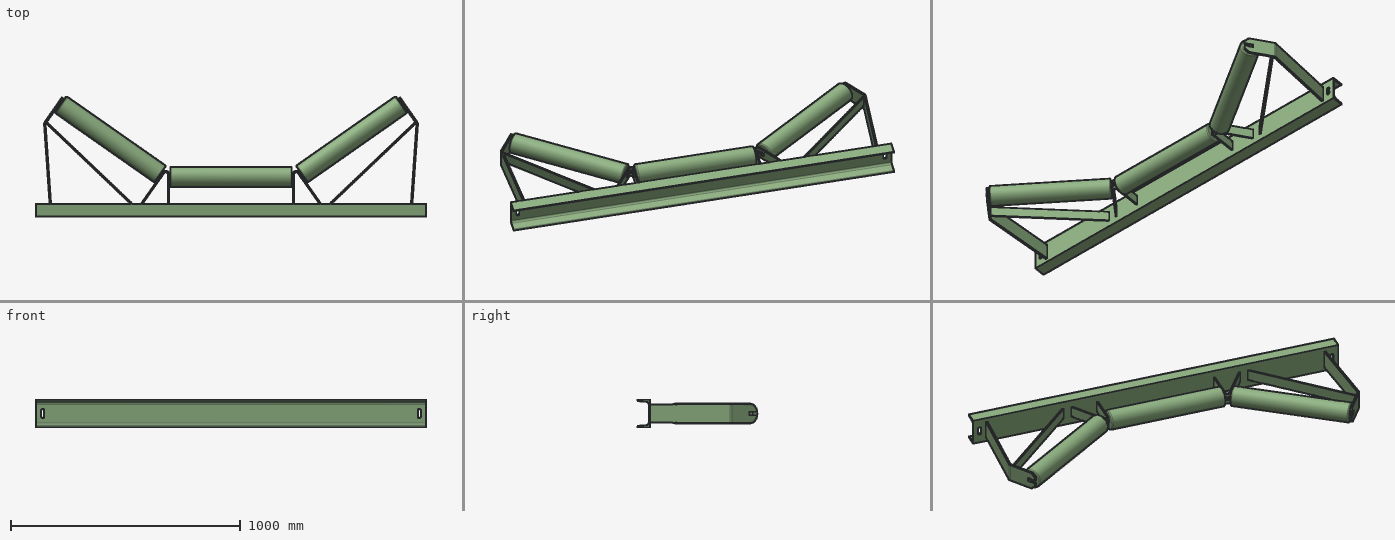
import cadquery as cq
import math

channel_length = 1700
channel_height = 120
flange_width = 55
web_thickness = 7
flange_mid_thickness = 9
flange_slope = 0.08
root_radius = 9
toe_radius = 4.5
mount_slot_length = 38
mount_slot_width = 14
mount_slot_from_end = 30

roller_diameter = 89
roller_length = 530
roller_edge_radius = 5
shaft_diameter = 20
flat_width = 14
middle_roller_gap = 4
side_roller_gap = 5
trough_angle = 35
overall_depth = 522.81

middle_plate_thickness = 6
outer_plate_thickness = 8
brace_thickness = 6
brace_width = 50
middle_plate_width = 50
outer_plate_width = 80
bend_radius = 15
middle_axis_y = 117
middle_bend_y = 129
outer_tip_above_axis = 28
outer_tip_chamfer = 18
outer_bend_below_axis = 106
outer_foot_x = 783
brace_foot_x = 437

angle = math.radians(trough_angle)
along = (math.cos(angle), math.sin(angle))
across = (-math.sin(angle), math.cos(angle))

middle_half_span = roller_length / 2 + middle_roller_gap
side_half_span = roller_length / 2 + side_roller_gap


def offset(point, along_distance, across_distance):
    """Shift an XY point along and across the inclined roller axis."""
    return (
        point[0] + along_distance * along[0] + across_distance * across[0],
        point[1] + along_distance * along[1] + across_distance * across[1],
    )


bend_centre = (middle_half_span + bend_radius, middle_bend_y)
incline_tangent = offset(bend_centre, bend_radius, 0)

roller_top_y = overall_depth - flange_width
side_centre_y = (
    roller_top_y
    - roller_edge_radius
    - (roller_length / 2 - roller_edge_radius) * along[1]
    - (roller_diameter / 2 - roller_edge_radius) * across[1]
)
inner_seat_y = side_centre_y - side_half_span * along[1]
inner_seat_drop = (incline_tangent[1] - inner_seat_y) / across[1]
inner_seat = offset(incline_tangent, 0, -inner_seat_drop)
side_centre = offset(inner_seat, side_half_span, 0)
outer_seat = offset(side_centre, side_half_span, 0)


def foot(point, direction):
    """Follow a direction from a point down to the web back at Y = 0."""
    return (point[0] - point[1] * direction[0] / direction[1], 0)


def plate(outline, width):
    """Extrude an XY outline to a width along Z, centred on Z = 0."""
    return outline.close().extrude(width).translate((0, 0, -width / 2))


def bar(diameter, length):
    """Round bar along X, centred on the origin."""
    return cq.Workplane("YZ", origin=(-length / 2, 0, 0)).circle(diameter / 2).extrude(length)


def seat_slot(seat, tilt):
    """Cutter for a shaft slot open toward +Y; tilt turns it about the seat point."""
    depth = shaft_diameter / 2
    rise = outer_plate_width
    cutter = cq.Workplane("XY").box(
        3 * outer_plate_thickness, depth + rise, flat_width
    ).translate((0, (rise - depth) / 2, 0))
    return cutter.rotate((0, 0, 0), (0, 0, 1), tilt).translate((seat[0], seat[1], 0))


def make_channel():
    """Rolled channel with tapered flanges and an upright mounting slot near each end."""
    half = channel_height / 2
    toe = half - flange_mid_thickness + flange_slope * flange_width / 2
    root = half - flange_mid_thickness - flange_slope * (flange_width / 2 - web_thickness)
    body = (
        cq.Workplane("YZ", origin=(-channel_length / 2, 0, 0))
        .moveTo(0, -half)
        .lineTo(-flange_width, -half)
        .lineTo(-flange_width, -toe)
        .lineTo(-web_thickness, -root)
        .lineTo(-web_thickness, root)
        .lineTo(-flange_width, toe)
        .lineTo(-flange_width, half)
        .lineTo(0, half)
        .close()
        .extrude(channel_length)
    )
    reach = 0.1
    for radius, y, z in ((root_radius, -web_thickness, root), (toe_radius, -flange_width, toe)):
        for side in (-1, 1):
            low = (-channel_length, y - reach, side * z - reach)
            high = (channel_length, y + reach, side * z + reach)
            body = body.edges(cq.selectors.BoxSelector(low, high)).fillet(radius)
    slot_x = channel_length / 2 - mount_slot_from_end
    slots = (
        cq.Workplane("XZ")
        .pushPoints([(-slot_x, 0), (slot_x, 0)])
        .slot2D(mount_slot_length, mount_slot_width, 90)
        .extrude(web_thickness)
    )
    return body.cut(slots)


def make_roller(centre, seat_half_span, tilt):
    """Shell with a shaft whose shoulders meet the brackets and whose flatted ends fill the slots."""
    shaft_half_length = seat_half_span + middle_plate_thickness
    shell = bar(roller_diameter, roller_length).edges().fillet(roller_edge_radius)
    shaft = bar(shaft_diameter, 2 * shaft_half_length)
    flats = cq.Workplane("XY").box(2 * shaft_half_length, shaft_diameter, flat_width)
    collar = bar(shaft_diameter, 2 * seat_half_span)
    roller = shell.union(shaft.intersect(flats)).union(collar)
    return roller.rotate((0, 0, 0), (0, 0, 1), tilt).translate((centre[0], centre[1], 0))


def make_middle_bracket():
    """Bent plate: upright leg at the middle roller, inclined leg at the side roller."""
    inner_radius = bend_radius - middle_plate_thickness
    upright_x = middle_half_span
    inner_tangent = offset(bend_centre, inner_radius, 0)
    bx, by = bend_centre
    bracket = plate(
        cq.Workplane("XY")
        .moveTo(upright_x, 0)
        .lineTo(upright_x, by)
        .threePointArc((bx, by + bend_radius), incline_tangent)
        .lineTo(*foot(incline_tangent, across))
        .lineTo(*foot(inner_tangent, across))
        .lineTo(*inner_tangent)
        .threePointArc((bx, by + inner_radius), (bx - inner_radius, by))
        .lineTo(upright_x + middle_plate_thickness, 0),
        middle_plate_width,
    )
    bracket = bracket.cut(seat_slot((upright_x, middle_axis_y), 0))
    return bracket.cut(seat_slot(inner_seat, trough_angle))


def toward(start, end):
    """Unit vector from one XY point to another."""
    length = math.dist(start, end)
    return ((end[0] - start[0]) / length, (end[1] - start[1]) / length)


outer_bend = offset(outer_seat, 0, -outer_bend_below_axis)
lean = toward((outer_foot_x, 0), outer_bend)
half_turn = math.acos(lean[0] * across[0] + lean[1] * across[1]) / 2


def make_outer_bracket():
    """Bent plate: leaning upright, then a tip parallel to the outer roller end."""
    mitre = outer_plate_thickness * math.tan(half_turn)
    outer_corner = offset(outer_bend, outer_plate_thickness, -mitre)
    tip_inner = offset(outer_seat, 0, outer_tip_above_axis)
    tip_outer = offset(tip_inner, outer_plate_thickness, 0)
    bracket = plate(
        cq.Workplane("XY")
        .moveTo(*foot(outer_bend, lean))
        .lineTo(*outer_bend)
        .lineTo(*tip_inner)
        .lineTo(*tip_outer)
        .lineTo(*outer_corner)
        .lineTo(*foot(outer_corner, lean)),
        outer_plate_width,
    )
    tip_edges = cq.selectors.BoxSelector(
        (*tip_inner, -outer_plate_width), (*tip_outer, outer_plate_width), boundingbox=False
    )
    inside_edge = cq.selectors.NearestToPointSelector((*outer_bend, 0))
    outside_edge = cq.selectors.NearestToPointSelector((*outer_corner, 0))
    bracket = bracket.edges(inside_edge).fillet(bend_radius - outer_plate_thickness)
    bracket = bracket.edges(outside_edge).fillet(bend_radius)
    through_thickness = cq.selectors.ParallelDirSelector(cq.Vector(*along, 0))
    bracket = bracket.edges(tip_edges & through_thickness).chamfer(outer_tip_chamfer)
    return bracket.cut(seat_slot(outer_seat, trough_angle))


def make_brace():
    """Straight flat from the tip of the outer bracket, just above its bend, down to the web."""
    bend_run_out = (bend_radius - outer_plate_thickness) * math.tan(half_turn)
    low_end = offset(outer_bend, 0, bend_run_out)
    run = toward((brace_foot_x, 0), low_end)
    end_length = brace_thickness / (run[0] * across[1] - run[1] * across[0])
    high_end = offset(low_end, 0, end_length)
    return plate(
        cq.Workplane("XY")
        .moveTo(*high_end)
        .lineTo(*low_end)
        .lineTo(brace_foot_x, 0)
        .lineTo(*foot(high_end, run)),
        brace_width,
    )


def both_sides(body):
    """The body on the +X side and its mirror image on the -X side."""
    return [body.val(), body.mirror("YZ").val()]


channel = make_channel()
middle_roller = make_roller((0, middle_axis_y), middle_half_span, 0)
side_roller = make_roller(side_centre, side_half_span, trough_angle)
middle_bracket = make_middle_bracket()
outer_bracket = make_outer_bracket()
brace = make_brace()

result = cq.Compound.makeCompound([
    channel.val(),
    middle_roller.val(),
    *both_sides(side_roller),
    *both_sides(middle_bracket),
    *both_sides(outer_bracket),
    *both_sides(brace),
])